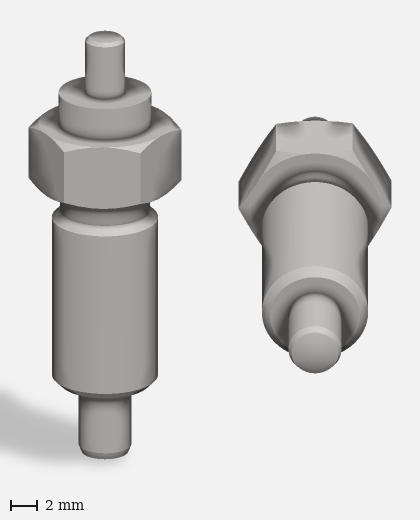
import cadquery as cq
import math

total_height = 34.0
housing_bottom = 6.0
shoulder_top = 20.0
hex_bottom = 22.0
hex_top = 27.0
housing_top = 29.5

barrel_radius = 4.0
neck_radius = 3.4
collar_radius = 3.5
barrel_chamfer = 0.6
hex_across_flats = 10.0
hex_chamfer_angle = 30.0

nose_radius = 2.0
nose_tip_radius = 1.77
dome_height = 0.4
nose_taper_top = 1.0
stem_radius = 1.5
stem_chamfer = 0.27
pin_step = hex_bottom


def cylinder(radius, bottom, top):
    return cq.Workplane("XY").workplane(offset=bottom).circle(radius).extrude(top - bottom)


def make_hex():
    """Hexagonal collar with its corners cut by a cone at both ends."""
    corner_radius = hex_across_flats / math.sqrt(3)
    flat_radius = hex_across_flats / 2
    corner_drop = (corner_radius - flat_radius) * math.tan(math.radians(hex_chamfer_angle))
    prism = (
        cq.Workplane("XY").workplane(offset=hex_bottom)
        .polygon(6, 2 * corner_radius)
        .extrude(hex_top - hex_bottom)
    )
    envelope = (
        cq.Workplane("XZ")
        .moveTo(0, hex_bottom)
        .lineTo(flat_radius, hex_bottom)
        .lineTo(corner_radius, hex_bottom + corner_drop)
        .lineTo(corner_radius, hex_top - corner_drop)
        .lineTo(flat_radius, hex_top)
        .lineTo(0, hex_top)
        .close()
        .revolve(360, (0, 0, 0), (0, 1, 0))
    )
    return prism.intersect(envelope)


def make_pin():
    """Stepped pin with a domed, tapered nose and a chamfered stem."""
    dome_radius = (nose_tip_radius**2 + dome_height**2) / (2 * dome_height)
    half_angle = math.asin(nose_tip_radius / dome_radius) / 2
    dome_middle = (dome_radius * math.sin(half_angle), dome_radius * (1 - math.cos(half_angle)))
    return (
        cq.Workplane("XZ")
        .moveTo(0, 0)
        .threePointArc(dome_middle, (nose_tip_radius, dome_height))
        .lineTo(nose_radius, nose_taper_top)
        .lineTo(nose_radius, pin_step)
        .lineTo(stem_radius, pin_step)
        .lineTo(stem_radius, total_height - stem_chamfer)
        .lineTo(stem_radius - stem_chamfer, total_height)
        .lineTo(0, total_height)
        .close()
        .revolve(360, (0, 0, 0), (0, 1, 0))
    )


def make_housing():
    """Barrel, neck, hexagon and collar, with a stepped bore that fits the pin."""
    barrel = cylinder(barrel_radius, housing_bottom, shoulder_top)
    barrel = barrel.faces("<Z or >Z").chamfer(barrel_chamfer)
    neck = cylinder(neck_radius, shoulder_top, hex_bottom)
    collar = cylinder(collar_radius, hex_top, housing_top)
    nose_bore = cylinder(nose_radius, housing_bottom, pin_step)
    stem_bore = cylinder(stem_radius, pin_step, housing_top)
    return barrel.union(neck).union(make_hex()).union(collar).cut(nose_bore).cut(stem_bore)


housing = make_housing()
pin = make_pin()

result = cq.Compound.makeCompound([housing.val(), pin.val()])